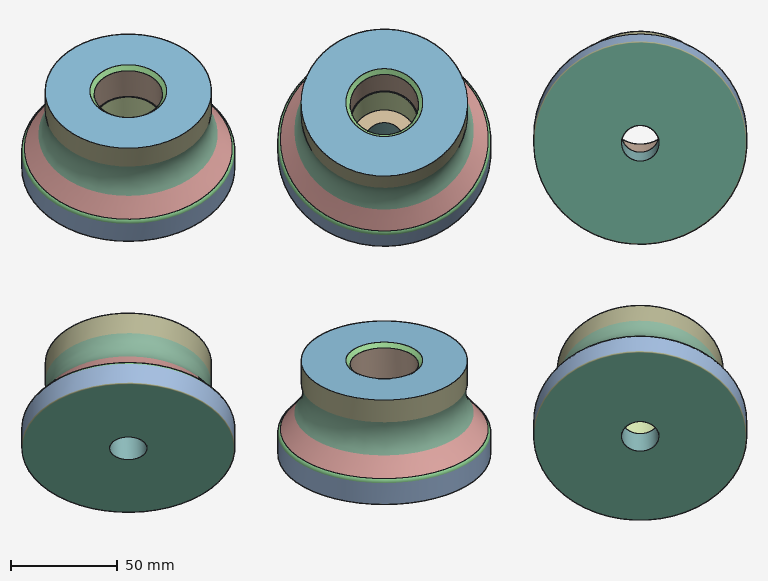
import cadquery as cq
import math

total_height = 50.0
base_radius = 100.0 / 2
base_height = 13.4
cap_radius = 78.0 / 2

bolt_hole_radius = 17.5 / 2
cone_foot_radius = 97.5 / 2
rim_radius = 2.0
bottom_round = 0.5

cone_top_height = 22.0
cap_bottom_height = 38.0
neck_curve_radius = 18.0
neck_center_height = 33.0

bore_radius = 32.0 / 2
bore_step_height = 31.5
lower_bore_radius = 31.0 / 2
bore_chamfer = 2.0

neck_center_radius = cap_radius + math.sqrt(
    neck_curve_radius**2 - (cap_bottom_height - neck_center_height) ** 2
)
neck_throat_radius = neck_center_radius - neck_curve_radius
cone_top_radius = neck_center_radius - math.sqrt(
    neck_curve_radius**2 - (neck_center_height - cone_top_height) ** 2
)

rim_center_radius = base_radius - rim_radius
rim_height = math.sqrt(rim_radius**2 - (cone_foot_radius - rim_center_radius) ** 2)


def revolve_about_z(profile):
    """Revolve a closed radius-height profile a full turn about Z."""
    return profile.close().revolve(360, (0, 0, 0), (0, 1, 0))


def make_base():
    """Flat disc with a rounded upper rim, a softened bottom edge and a bolt hole."""
    profile = (
        cq.Workplane("XZ")
        .moveTo(bolt_hole_radius, 0)
        .lineTo(base_radius - bottom_round, 0)
        .radiusArc((base_radius, bottom_round), -bottom_round)
        .lineTo(base_radius, base_height - rim_height)
        .radiusArc((cone_foot_radius, base_height), -rim_radius)
        .lineTo(bolt_hole_radius, base_height)
    )
    return revolve_about_z(profile)


def make_housing():
    """Waisted housing standing on the base, with a chamfered stepped bore."""
    profile = (
        cq.Workplane("XZ")
        .moveTo(lower_bore_radius, base_height)
        .lineTo(cone_foot_radius, base_height)
        .lineTo(cone_top_radius, cone_top_height)
        .threePointArc((neck_throat_radius, neck_center_height), (cap_radius, cap_bottom_height))
        .lineTo(cap_radius, total_height)
        .lineTo(bore_radius + bore_chamfer, total_height)
        .lineTo(bore_radius, total_height - bore_chamfer)
        .lineTo(bore_radius, bore_step_height)
        .lineTo(lower_bore_radius, bore_step_height)
    )
    return revolve_about_z(profile)


base = make_base()
housing = make_housing()
result = cq.Compound.makeCompound([base.val(), housing.val()])